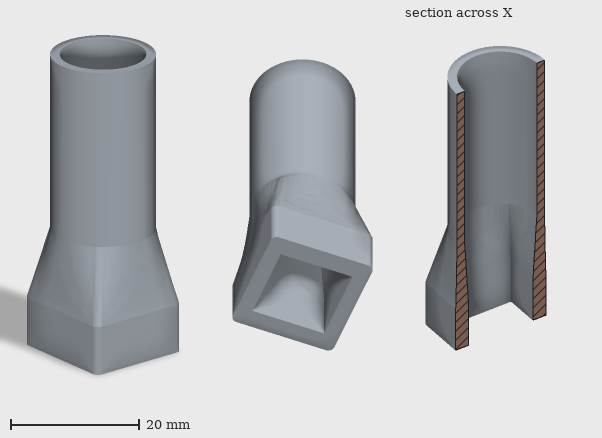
import cadquery as cq
import math

total_height = 49.0
socket_height = 8.0
transition_top = 20.0
transition_height = transition_top - socket_height
overlap = 0.5

tube_outer_diameter = 16.55
tube_bore_diameter = 13.5

socket_length = 18.0
socket_width = 17.0
socket_corner_radius = 1.0
opening_side = 12.0


def straight_corner_ends(length, width, radius):
    """End points of the four straight sides, counter-clockwise from the lower right."""
    x, y = length / 2, width / 2
    return [
        (x, -y + radius), (x, y - radius),
        (x - radius, y), (-x + radius, y),
        (-x, y - radius), (-x, -y + radius),
        (-x + radius, -y), (x - radius, -y),
    ]


def rounded_rectangle_wire(length, width, radius, z):
    """Closed outline of four lines alternating with four corner arcs."""
    points = straight_corner_ends(length, width, radius)
    inset = radius * (1 - math.sqrt(0.5))
    edges = []
    for i, start in enumerate(points):
        end = points[(i + 1) % len(points)]
        if i % 2 == 0:
            edges.append(cq.Edge.makeLine(cq.Vector(*start, z), cq.Vector(*end, z)))
        else:
            corner_x = math.copysign(length / 2 - inset, start[0])
            corner_y = math.copysign(width / 2 - inset, start[1])
            edges.append(cq.Edge.makeThreePointArc(
                cq.Vector(*start, z), cq.Vector(corner_x, corner_y, z), cq.Vector(*end, z)))
    return cq.Wire.assembleEdges(edges)


def split_circle_wire(diameter, angles, z):
    """Circle divided into arcs at the given increasing angles."""
    def point(angle):
        return cq.Vector(diameter / 2 * math.cos(angle), diameter / 2 * math.sin(angle), z)

    ends = angles[1:] + [angles[0] + 2 * math.pi]
    return cq.Wire.assembleEdges([
        cq.Edge.makeThreePointArc(point(start), point((start + end) / 2), point(end))
        for start, end in zip(angles, ends)
    ])


def rectangle_to_circle(length, width, radius, diameter):
    """Ruled transition whose seams run radially from the rectangle corners."""
    corner_ends = straight_corner_ends(length, width, radius)
    angles = [math.atan2(y, x) for x, y in corner_ends]
    angles = [angles[0]] + [angle % (2 * math.pi) for angle in angles[1:]]
    base = rounded_rectangle_wire(length, width, radius, socket_height)
    top = split_circle_wire(diameter, angles, transition_top)
    return cq.Workplane(cq.Solid.makeLoft([base, top], True))


def cylinder(diameter, height):
    return cq.Workplane("XY").workplane(offset=transition_top).circle(diameter / 2).extrude(height)


def square_to_circle(side, diameter):
    """Transition for the passage between the square opening and round bore."""
    return (
        cq.Workplane("XY").workplane(offset=socket_height).rect(side, side)
        .workplane(offset=transition_height).circle(diameter / 2).loft(ruled=True)
    )


tube_height = total_height - transition_top

socket = (
    cq.Workplane("XY").rect(socket_length, socket_width).extrude(socket_height)
    .edges("|Z").fillet(socket_corner_radius)
)
transition = rectangle_to_circle(
    socket_length, socket_width, socket_corner_radius, tube_outer_diameter)
body = socket.union(transition).union(cylinder(tube_outer_diameter, tube_height))

opening = cq.Workplane("XY").rect(opening_side, opening_side).extrude(socket_height)
passage = square_to_circle(opening_side, tube_bore_diameter)
bore = cylinder(tube_bore_diameter, tube_height + overlap)

result = body.cut(opening).cut(passage).cut(bore)